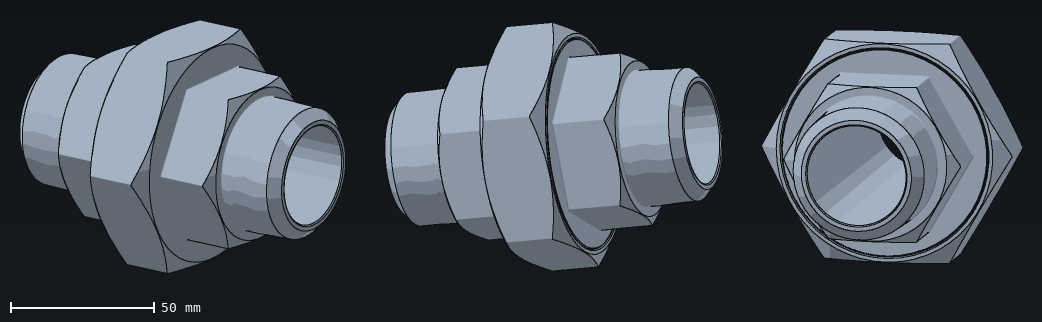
import cadquery as cq
import math

TOTAL_LENGTH = 111.5
LEFT_HEX_START = 22.3
RIGHT_HEX_END = 88.8
NUT_START = 44.0
NUT_END = 68.5

TIP_DIAMETER = 39.5
TAPER_SMALL_DIAMETER = 47.0
PIPE_DIAMETER = 47.8
BEVEL_LENGTH = 3.8
LEFT_CYLINDER_LENGTH = 3.3
RIGHT_CYLINDER_LENGTH = 4.0

BORE_DIAMETER = 35.5
BORE_CHAMFER = 0.5

NUT_FLATS = 78.0
BODY_FLATS = 55.1
FACE_CLEARANCE = 0.2
CORNER_CHAMFER_ANGLE = 30.0
ROOT_FILLET = 0.5
CORNER_FILLET = 0.5

FLANGE_DIAMETER = 73.4
NUT_BORE_DIAMETER = 74.0
NUT_MOUTH_DIAMETER = 74.9
GAP_DEPTH = 1.1


def turned(points):
    """Revolve an outline of (x, radius) points about the X axis."""
    return cq.Workplane("XY").polyline(points).close().revolve(360, (0, 0, 0), (1, 0, 0))


def chamfered_hexagon(start, end, flats, chamfer_start, chamfer_end):
    """Hexagonal bar along X, corners on the Y axis, turned to a cone on the chosen ends."""
    across_corners = flats / math.cos(math.pi / 6)
    bar = cq.Workplane("YZ", origin=(start, 0, 0)).polygon(6, across_corners).extrude(end - start)
    bar = bar.edges("|X").fillet(CORNER_FILLET)

    face_radius = flats / 2 - FACE_CLEARANCE
    outer_radius = across_corners / 2 + 1.1
    cone_depth = (outer_radius - face_radius) * math.tan(math.radians(CORNER_CHAMFER_ANGLE))
    outline = [(start, 0)]
    if chamfer_start:
        outline += [(start, face_radius), (start + cone_depth, outer_radius)]
    else:
        outline += [(start, outer_radius)]
    if chamfer_end:
        outline += [(end - cone_depth, outer_radius), (end, face_radius)]
    else:
        outline += [(end, outer_radius)]
    outline += [(end, 0)]
    return bar.intersect(turned(outline))


def pipe_end(tip, root, cylinder_length):
    """Solid pipe end from its tip to the hexagon face at root, pointing either way along X."""
    direction = 1 if root > tip else -1
    return turned([
        (tip, 0),
        (tip, TIP_DIAMETER / 2),
        (tip + direction * BEVEL_LENGTH, TAPER_SMALL_DIAMETER / 2),
        (root - direction * cylinder_length, PIPE_DIAMETER / 2),
        (root, PIPE_DIAMETER / 2),
        (root, 0),
    ])


def fillet_root(body, x, reach):
    """Round the inside edges lying in the plane at x, within reach of the axis."""
    sliver = 0.01
    edges = cq.selectors.BoxSelector(
        (x - sliver, -reach, -reach), (x + sliver, reach, reach), boundingbox=True
    )
    return body.edges(edges).fillet(ROOT_FILLET)


left_hex = chamfered_hexagon(LEFT_HEX_START, NUT_START, BODY_FLATS, True, False)
right_hex = chamfered_hexagon(NUT_END, RIGHT_HEX_END, BODY_FLATS, False, True)
left_pipe = pipe_end(0, LEFT_HEX_START, LEFT_CYLINDER_LENGTH)
right_pipe = pipe_end(TOTAL_LENGTH, RIGHT_HEX_END, RIGHT_CYLINDER_LENGTH)
nut = chamfered_hexagon(NUT_START, NUT_END, NUT_FLATS, True, True)
union_body = nut.union(left_hex).union(right_hex).union(left_pipe).union(right_pipe)

pipe_reach = PIPE_DIAMETER / 2 + ROOT_FILLET
hex_reach = BODY_FLATS / math.cos(math.pi / 6) / 2 + ROOT_FILLET
for root_x, reach in (
    (LEFT_HEX_START, pipe_reach),
    (RIGHT_HEX_END, pipe_reach),
    (NUT_START, hex_reach),
    (NUT_END, hex_reach),
):
    union_body = fillet_root(union_body, root_x, reach)

mouth_chamfer = (NUT_MOUTH_DIAMETER - NUT_BORE_DIAMETER) / 2
ring_gap = turned([
    (NUT_START, FLANGE_DIAMETER / 2),
    (NUT_START, NUT_MOUTH_DIAMETER / 2),
    (NUT_START + mouth_chamfer, NUT_BORE_DIAMETER / 2),
    (NUT_START + GAP_DEPTH, NUT_BORE_DIAMETER / 2),
    (NUT_START + GAP_DEPTH, FLANGE_DIAMETER / 2),
])

bore_radius = BORE_DIAMETER / 2
bore = turned([
    (0, 0),
    (0, bore_radius + BORE_CHAMFER),
    (BORE_CHAMFER, bore_radius),
    (TOTAL_LENGTH - BORE_CHAMFER, bore_radius),
    (TOTAL_LENGTH, bore_radius + BORE_CHAMFER),
    (TOTAL_LENGTH, 0),
])

result = union_body.cut(ring_gap).cut(bore)